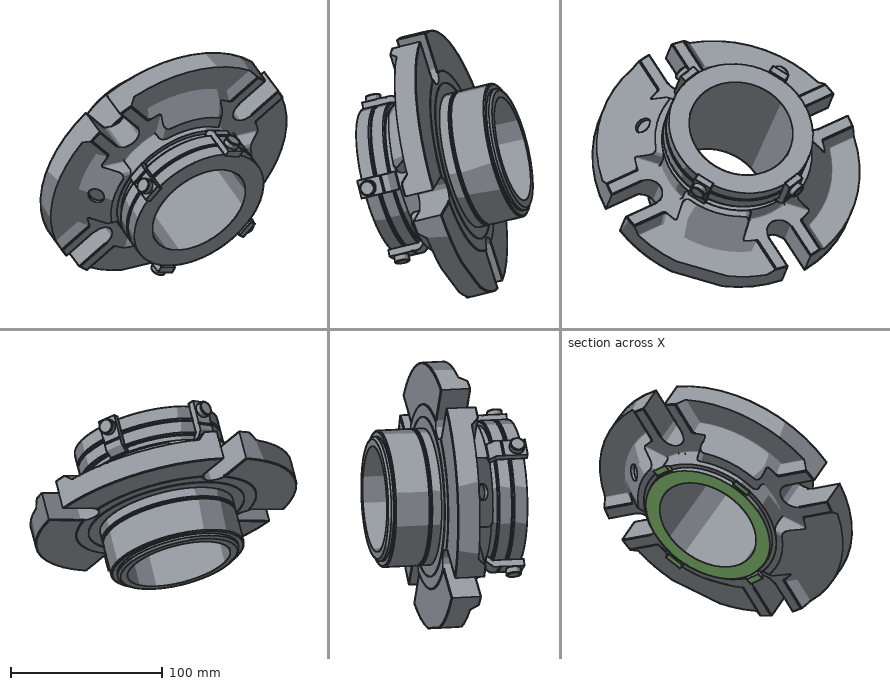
import cadquery as cq
import math


SLEEVE_TIP_X = 0.0
GLAND_START_X = 3.2
GROOVE_START_X = 27.3
GROOVE_END_X = 28.5
SPIGOT_FACE_X = 34.8
REGISTER_FACE_X = 35.3
FLANGE_BACK_X = 35.7
POCKET_FLOOR_X = 50.5
PAD_FACE_X = 55.9
HUB_END_X = 68.1
RING_START_X = 72.5
RING_GROOVE_START_X = 81.6
RING_GROOVE_END_X = 82.7
RING_END_X = 92.3
CLIP_END_X = 94.2

BORE_DIA = 69.9
SLEEVE_DIA = 82.5
GLAND_DIA = 90.5
NECK_DIA = 90.8
GROOVE_DIA = 87.5
SPIGOT_DIA = 105.7
REGISTER_DIA = 122.8
REGISTER_BEVEL = 0.5
FLANGE_DIA = 177.5
HUB_DIA = 96.7
RING_DIA = 97.2
RING_GROOVE_DEPTH = 0.9
SLEEVE_CHAMFER = 1.6
EDGE_CHAMFER = 0.9
FLANGE_CHAMFER = 0.5

SLOT_ANGLES = [58, 148, 238, 328]
SLOT_WIDTH = 18.0
SLOT_BOTTOM_RADIUS = 55.2
POCKET_ANGLES = [13, 103, 193, 283]
PAD_HALF_WIDTH = 22.9
POCKET_WALL_TAPER = 45
RIM_FLAT_ANGLE = 282
RIM_FLAT_DISTANCE = 87.0

SELECTION_MARGIN = 0.2

SHOULDER_SUM = 120.7
LOBE_HALF_WIDTH = 22.9
LOBE_INNER_RADIUS = 39.0
LONG_LOBE_END_X = 67.8
SHORT_LOBE_END_X = 64.2
SHORT_LOBE_ANGLE = 103
LOBE_CORNER_RADIUS = 4.0
ROOT_FILLET = 1.5
POCKET_CORNER_FILLET = 2.5
POCKET_FLOOR_FILLET = 1.0
PORT_ANGLE = 13
PORT_DIA = 11.0
PORT_X = 59.6
PORT_DEPTH = 2.3

CLIP_ANGLES = [46, 120, 226, 300]
CLIP_WIDTH = 12.0
CLIP_INNER_RADIUS = 48.3
CLIP_OUTER_RADIUS = 52.9
CLIP_BEND_X = 73.3
CLIP_BEND_RADIUS = 2.7
CLIP_TOE_X = 68.7
CLIP_TOE_DROP = 3.9
CLIP_LINE_X = 77.5
CLIP_LINE_WIDTH = 1.0
CLIP_LINE_DEPTH = 0.4
SCREW_X = 87.7
SCREW_DIA = 10.0
SCREW_TOP_RADIUS = 57.1
SCREW_CHAMFER = 0.5


def turned(points):
    """Solid of revolution about X from (x, radius) points."""
    return cq.Workplane("XY").polyline(points).close().revolve(360, (0, 0, 0), (1, 0, 0))


def at_angle(shape, angle):
    """Turn a shape modelled on the -Y side to a clock angle."""
    return shape.rotate((0, 0, 0), (1, 0, 0), -angle)


def box_between(x0, x1, r0, r1, width):
    """Box on the -Y side spanning x0..x1 along the axis and r0..r1 outwards."""
    return cq.Workplane("XY").box(x1 - x0, r1 - r0, width).translate(((x0 + x1) / 2, -(r0 + r1) / 2, 0))


def edges_near_axial_position(x, reach):
    """Selector for edges centred on the plane at x, within reach of the axis."""
    return cq.selectors.BoxSelector(
        (x - SELECTION_MARGIN, -reach, -reach), (x + SELECTION_MARGIN, reach, reach))


def gland_and_sleeve():
    """Sleeve tip, gland with its O-ring groove, spigot, hub and drive ring."""
    sleeve_r = SLEEVE_DIA / 2
    gland_r = GLAND_DIA / 2
    neck_r = NECK_DIA / 2
    groove_r = GROOVE_DIA / 2
    spigot_r = SPIGOT_DIA / 2
    hub_r = HUB_DIA / 2
    ring_r = RING_DIA / 2
    ring_groove_r = ring_r - RING_GROOVE_DEPTH
    return turned([
        (SLEEVE_TIP_X, 0),
        (SLEEVE_TIP_X, sleeve_r - SLEEVE_CHAMFER),
        (SLEEVE_TIP_X + SLEEVE_CHAMFER, sleeve_r),
        (GLAND_START_X, sleeve_r),
        (GLAND_START_X, gland_r - EDGE_CHAMFER),
        (GLAND_START_X + EDGE_CHAMFER, gland_r),
        (GROOVE_START_X - EDGE_CHAMFER, gland_r),
        (GROOVE_START_X, gland_r - EDGE_CHAMFER),
        (GROOVE_START_X, groove_r),
        (GROOVE_END_X, groove_r),
        (GROOVE_END_X, gland_r),
        (SPIGOT_FACE_X, gland_r),
        (SPIGOT_FACE_X, spigot_r),
        (FLANGE_BACK_X, spigot_r),
        (PAD_FACE_X, spigot_r),
        (PAD_FACE_X, hub_r),
        (HUB_END_X, hub_r),
        (HUB_END_X, neck_r),
        (RING_START_X, neck_r),
        (RING_START_X, ring_r - EDGE_CHAMFER),
        (RING_START_X + EDGE_CHAMFER, ring_r),
        (RING_GROOVE_START_X, ring_r),
        (RING_GROOVE_START_X, ring_groove_r),
        (RING_GROOVE_END_X, ring_groove_r),
        (RING_GROOVE_END_X + RING_GROOVE_DEPTH, ring_r),
        (RING_END_X, ring_r),
        (RING_END_X, 0),
    ])


def pocket():
    """Tapered right-angle wedge outside the shoulder that lowers the flange face between two slot pads.

    Each wall runs parallel to its slot, so the two walls would meet at a corner near the axis.
    """
    reach = FLANGE_DIA
    corner = PAD_HALF_WIDTH * math.sqrt(2)
    half = reach - corner
    wedge = (
        cq.Workplane("YZ", origin=(POCKET_FLOOR_X, 0, 0))
        .polyline([(-corner, 0), (-reach, -half), (-reach, half)])
        .close()
        .extrude(PAD_FACE_X - POCKET_FLOOR_X, taper=-POCKET_WALL_TAPER)
        .cut(shoulder(PAD_FACE_X))
    )
    middle_x = (POCKET_FLOOR_X + PAD_FACE_X) / 2
    inner_corners = edges_near_axial_position(middle_x, FLANGE_DIA / 2)
    return wedge.edges(inner_corners).fillet(POCKET_CORNER_FILLET)


def slot():
    """Open bolt slot with a round bottom."""
    end_centre = SLOT_BOTTOM_RADIUS + SLOT_WIDTH / 2
    length = PAD_FACE_X - SPIGOT_FACE_X
    round_end = (
        cq.Workplane("YZ", origin=(SPIGOT_FACE_X, 0, 0))
        .center(-end_centre, 0)
        .circle(SLOT_WIDTH / 2)
        .extrude(length)
    )
    return round_end.union(box_between(SPIGOT_FACE_X, PAD_FACE_X, end_centre, FLANGE_DIA, SLOT_WIDTH))


def flange():
    """Slotted flange disc with pads beside the slots, pockets between them and a rim flat."""
    disc = (
        cq.Workplane("YZ", origin=(FLANGE_BACK_X, 0, 0))
        .circle(FLANGE_DIA / 2)
        .extrude(PAD_FACE_X - FLANGE_BACK_X)
    )
    for angle in POCKET_ANGLES:
        disc = disc.cut(at_angle(pocket(), angle))
    pocket_mid_radius = (FLANGE_DIA / 2 + SHOULDER_SUM - POCKET_FLOOR_X) / 2
    floor_edges = edges_near_axial_position(POCKET_FLOOR_X, pocket_mid_radius)
    disc = disc.edges(floor_edges).fillet(POCKET_FLOOR_FILLET)
    flat = box_between(SPIGOT_FACE_X, PAD_FACE_X, RIM_FLAT_DISTANCE, FLANGE_DIA, FLANGE_DIA)
    disc = disc.cut(at_angle(flat, RIM_FLAT_ANGLE))
    for angle in SLOT_ANGLES:
        disc = disc.cut(at_angle(slot(), angle))
    return disc.faces("<X or >X").chamfer(FLANGE_CHAMFER)


def shoulder(end_x):
    """Full 45 degree cone from the pocket floor to end_x."""
    return turned([
        (POCKET_FLOOR_X, 0),
        (POCKET_FLOOR_X, SHOULDER_SUM - POCKET_FLOOR_X),
        (end_x, SHOULDER_SUM - end_x),
        (end_x, 0),
    ])


def register():
    """Thin bevelled register step on the back of the flange."""
    radius = REGISTER_DIA / 2
    return turned([
        (REGISTER_FACE_X, 0),
        (REGISTER_FACE_X, radius - REGISTER_BEVEL),
        (FLANGE_BACK_X, radius),
        (PAD_FACE_X, radius),
        (PAD_FACE_X, 0),
    ])


def lobe(end_x):
    """Block cut from the shoulder cone, with its two outer corners rounded."""
    block = box_between(POCKET_FLOOR_X, end_x, LOBE_INNER_RADIUS, FLANGE_DIA, 2 * LOBE_HALF_WIDTH)
    return block.edges(">X and (<Z or >Z)").fillet(LOBE_CORNER_RADIUS).intersect(shoulder(end_x))


def hub_with_lobes():
    """Hub and its four lobes, with soft roots where they rise from the pad plane."""
    plate_radius = SHOULDER_SUM - POCKET_FLOOR_X + ROOT_FILLET
    body = (
        cq.Workplane("YZ", origin=(POCKET_FLOOR_X, 0, 0))
        .circle(plate_radius)
        .extrude(PAD_FACE_X - POCKET_FLOOR_X)
        .faces(">X").workplane()
        .circle(HUB_DIA / 2)
        .extrude(HUB_END_X - PAD_FACE_X)
    )
    for angle in POCKET_ANGLES:
        end_x = SHORT_LOBE_END_X if angle == SHORT_LOBE_ANGLE else LONG_LOBE_END_X
        body = body.union(at_angle(lobe(end_x), angle))
    root_reach = SHOULDER_SUM - PAD_FACE_X - ROOT_FILLET
    body = body.edges(edges_near_axial_position(PAD_FACE_X, root_reach)).fillet(ROOT_FILLET)
    return body.intersect(shoulder(HUB_END_X))


def port():
    """Shallow round recess square to the shoulder cone."""
    mouth = cq.Vector(PORT_X, PORT_X - SHOULDER_SUM, 0)
    inward = cq.Vector(-1, 1, 0)
    return cq.Workplane(obj=cq.Solid.makeCylinder(
        PORT_DIA / 2, 2 * PORT_DEPTH,
        mouth - inward.normalized() * PORT_DEPTH, inward))


def clip():
    """Setting clip with its toe bent down behind the drive ring, and its cap screw."""
    half = CLIP_WIDTH / 2
    plate = (
        cq.Workplane("XY", origin=(0, 0, -half))
        .polyline([
            (CLIP_END_X, -CLIP_INNER_RADIUS),
            (CLIP_END_X, -CLIP_OUTER_RADIUS),
            (CLIP_BEND_X, -CLIP_OUTER_RADIUS),
            (CLIP_TOE_X, -(CLIP_OUTER_RADIUS - CLIP_TOE_DROP)),
            (CLIP_TOE_X, -(CLIP_INNER_RADIUS - CLIP_TOE_DROP)),
            (CLIP_BEND_X, -CLIP_INNER_RADIUS),
        ])
        .close()
        .extrude(CLIP_WIDTH)
    )
    bend = cq.selectors.NearestToPointSelector((CLIP_BEND_X, -CLIP_OUTER_RADIUS, 0))
    plate = plate.edges(bend).fillet(CLIP_BEND_RADIUS)
    plate = plate.cut(box_between(
        CLIP_LINE_X, CLIP_LINE_X + CLIP_LINE_WIDTH,
        CLIP_OUTER_RADIUS - CLIP_LINE_DEPTH, SCREW_TOP_RADIUS, CLIP_WIDTH))
    screw = (
        cq.Workplane("XZ", origin=(SCREW_X, -CLIP_INNER_RADIUS, 0))
        .circle(SCREW_DIA / 2)
        .extrude(SCREW_TOP_RADIUS - CLIP_INNER_RADIUS)
        .faces("<Y")
        .chamfer(SCREW_CHAMFER)
    )
    return plate.union(screw)


core = register().union(hub_with_lobes())
for angle in SLOT_ANGLES:
    core = core.cut(at_angle(slot(), angle))
result = gland_and_sleeve().union(flange()).union(core)
result = result.cut(at_angle(port(), PORT_ANGLE))

for angle in CLIP_ANGLES:
    result = result.union(at_angle(clip(), angle))

bore = cq.Workplane("YZ").circle(BORE_DIA / 2).extrude(CLIP_END_X)
result = result.cut(bore)